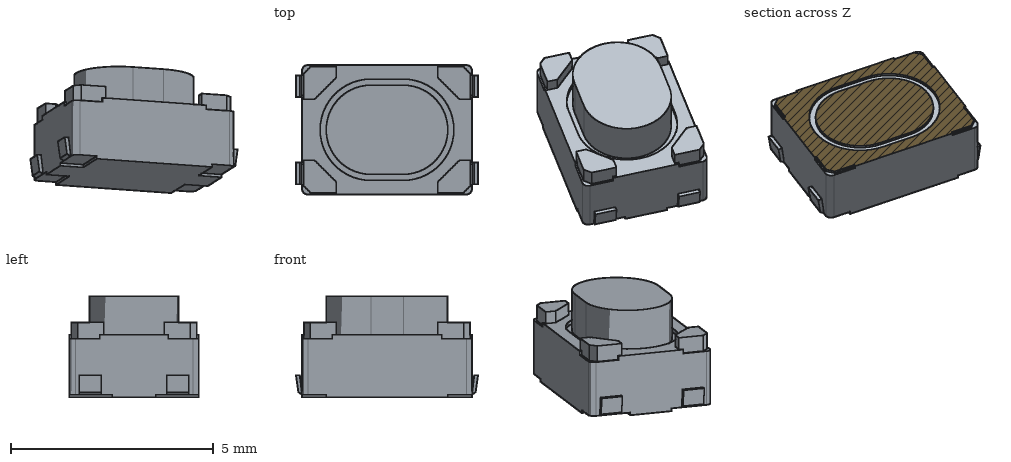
import cadquery as cq

body_length = 4.2
body_width = 3.2
overall_length = 4.5
overall_height = 2.5

housing_top = 1.55
corner_radius = 0.15
top_step_height = 0.1
top_step_size = 0.75
bottom_step_height = 0.07
bottom_step_length = 0.6
bottom_step_width = 1.06
top_step_floor = housing_top - top_step_height

button_length = 3.0
button_width = 2.2
groove_gap = 0.15
groove_depth = 0.1

block_size = 0.8
block_inset = 0.05
block_top = 1.85
block_outer_chamfer = 0.16
block_inner_chamfer = 0.54

top_step_chamfer = block_inner_chamfer - 2 * (block_inset + block_size - top_step_size)

tab_width = 0.54
tab_center_y = 1.075
tab_top = 0.55
tab_thickness = 0.1
tab_knee_x = 2.19
tab_knee_z = 0.13

corners = [(-1, -1), (-1, 1), (1, -1), (1, 1)]


def make_bottom_step(x_sign, y_sign):
    """Box that fills one lower corner of the housing."""
    center_x = x_sign * (body_length - bottom_step_length) / 2
    center_y = y_sign * (body_width - bottom_step_width) / 2
    return (
        cq.Workplane("XY")
        .center(center_x, center_y)
        .rect(bottom_step_length, bottom_step_width)
        .extrude(bottom_step_height)
    )


def make_top_step(x_sign, y_sign):
    """Upper corner prism whose inner chamfer lies flush with that of the corner block."""
    outer_x = body_length / 2
    outer_y = body_width / 2
    inner_x = outer_x - top_step_size
    inner_y = outer_y - top_step_size
    outline = [
        (inner_x, outer_y),
        (outer_x, outer_y),
        (outer_x, inner_y),
        (inner_x + top_step_chamfer, inner_y),
        (inner_x, inner_y + top_step_chamfer),
    ]
    return (
        cq.Workplane("XY", origin=(0, 0, top_step_floor))
        .polyline([(x_sign * x, y_sign * y) for x, y in outline])
        .close()
        .extrude(top_step_height)
    )


def make_housing():
    """Rounded box with its corners cut back at the top and at the bottom."""
    housing = (
        cq.Workplane("XY")
        .rect(body_length, body_width)
        .extrude(housing_top)
        .edges("|Z")
        .fillet(corner_radius)
    )
    for x_sign, y_sign in corners:
        housing = housing.cut(make_top_step(x_sign, y_sign))
        housing = housing.cut(make_bottom_step(x_sign, y_sign))
    return housing


def make_obround(length, width, floor, top):
    """Upright prism with two straight sides and two semicircular ends."""
    return cq.Workplane("XY", origin=(0, 0, floor)).slot2D(length, width).extrude(top - floor)


def make_block(x_sign, y_sign):
    """Square corner block with a small outer chamfer and a large inner one."""
    outer_x = body_length / 2 - block_inset
    outer_y = body_width / 2 - block_inset
    inner_x = outer_x - block_size
    inner_y = outer_y - block_size
    outline = [
        (inner_x, outer_y),
        (outer_x - block_outer_chamfer, outer_y),
        (outer_x, outer_y - block_outer_chamfer),
        (outer_x, inner_y),
        (inner_x + block_inner_chamfer, inner_y),
        (inner_x, inner_y + block_inner_chamfer),
    ]
    return (
        cq.Workplane("XY", origin=(0, 0, top_step_floor))
        .polyline([(x_sign * x, y_sign * y) for x, y in outline])
        .close()
        .extrude(block_top - top_step_floor)
    )


def make_tab(x_sign, y_sign):
    """Bent tab that leans outward from the lower edge of an end face."""
    face_x = body_length / 2
    tip_x = overall_length / 2
    outline = [
        (face_x - tab_thickness, bottom_step_height),
        (face_x, bottom_step_height),
        (tab_knee_x, tab_knee_z),
        (tip_x, tab_top),
        (tip_x - tab_thickness, tab_top),
        (face_x, tab_knee_z),
        (face_x - tab_thickness, tab_knee_z),
    ]
    return (
        cq.Workplane("XZ", origin=(0, y_sign * tab_center_y, 0))
        .polyline([(x_sign * x, z) for x, z in outline])
        .close()
        .extrude(tab_width / 2, both=True)
    )


groove_floor = housing_top - groove_depth
groove = make_obround(
    button_length + 2 * groove_gap, button_width + 2 * groove_gap, groove_floor, housing_top
)
button = make_obround(button_length, button_width, groove_floor, overall_height)

result = make_housing().cut(groove).union(button)
for x_sign, y_sign in corners:
    result = result.union(make_block(x_sign, y_sign))
    result = result.union(make_tab(x_sign, y_sign))